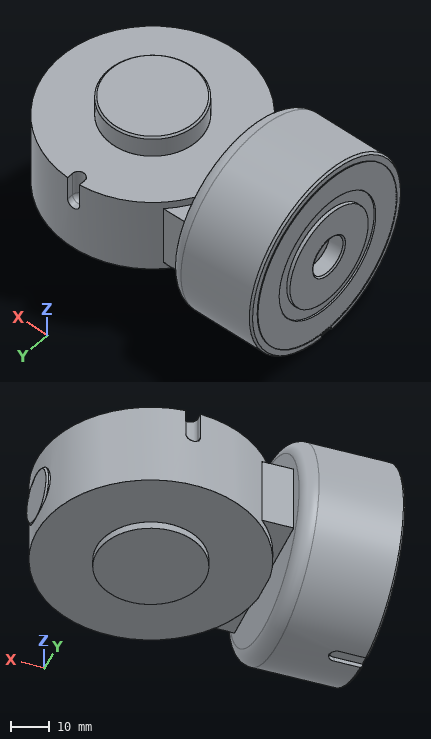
import cadquery as cq

disk_radius = 31.52
disk_height = 25.0
pin_radius = 15.0
pin_top = 19.4
pin_bottom = -14.6
pin_chamfer = 0.55

side_boss_radius = 7.8
side_boss_end = 31.6
side_boss_chamfer = 0.55

overall_length = 91.5
wheel_radius = 30.0
wheel_back = -31.2
wheel_fillet = 4.0
hub_front = side_boss_end - overall_length
hub_radius = 15.6
hub_height = 0.55
face_radius = 27.6
face_front = hub_front + hub_height
rim_step = 0.3
rim_front = face_front + rim_step
rim_chamfer_width = 0.55
rim_chamfer_length = 0.6
recess_radius = 19.2
recess_depth = 0.55
bore_radius = 6.0
bore_depth = 5.0
bore_chamfer = 0.5

block_width = 44.1
block_height = 20.1
block_start = wheel_back - wheel_fillet
block_end = -disk_radius / 2

notch_radius = 2.0
notch_axis_depth = 8.0
disk_notch_length = 4.0
wheel_notch_length = 1.4


def cylinder(radius, start, end, direction):
    """Cylinder on an axis through the origin, between two positions along it."""
    origin = cq.Vector(*direction) * start
    solid = cq.Solid.makeCylinder(radius, end - start, origin, cq.Vector(*direction))
    return cq.Workplane(obj=solid)


def make_disk():
    """Disk with its through pin and the flat boss on its side."""
    half_height = disk_height / 2
    disk = cylinder(disk_radius, -half_height, half_height, (0, 0, 1))
    pin = cylinder(pin_radius, pin_bottom, pin_top, (0, 0, 1))
    pin = pin.faces(">Z").edges().chamfer(pin_chamfer)
    side_boss = cylinder(side_boss_radius, 0, side_boss_end, (1, 0, 0))
    side_boss = side_boss.faces(">X").edges().chamfer(side_boss_chamfer)
    return disk.union(pin).union(side_boss)


def make_wheel():
    """Revolve the half section of the wheel, including recess and blind bore."""
    bore_floor = hub_front + bore_depth
    recess_floor = face_front + recess_depth
    section = (
        cq.Workplane("XY")
        .moveTo(bore_floor, 0)
        .lineTo(bore_floor, bore_radius)
        .lineTo(hub_front + bore_chamfer, bore_radius)
        .lineTo(hub_front, bore_radius + bore_chamfer)
        .lineTo(hub_front, hub_radius)
        .lineTo(recess_floor, hub_radius)
        .lineTo(recess_floor, recess_radius)
        .lineTo(face_front, recess_radius)
        .lineTo(face_front, face_radius)
        .lineTo(rim_front, face_radius)
        .lineTo(rim_front, wheel_radius - rim_chamfer_width)
        .lineTo(rim_front + rim_chamfer_length, wheel_radius)
        .lineTo(wheel_back, wheel_radius)
        .lineTo(wheel_back, 0)
        .close()
    )
    wheel = section.revolve(360, (0, 0, 0), (1, 0, 0))
    return wheel.faces(">X").edges().fillet(wheel_fillet)


def make_block():
    """Block running from inside the wheel to inside the disk."""
    block = cq.Workplane("XY").box(
        block_end - block_start, block_width, block_height, centered=(False, True, True)
    )
    return block.translate((block_start, 0, 0))


def make_disk_notch():
    """Cutting tools for a ball-ended radial slot into the top face, at the +Y rim."""
    ball_center = disk_radius - disk_notch_length + notch_radius
    axis_height = disk_height / 2 - notch_axis_depth
    outer_end = disk_radius + notch_radius
    groove = cylinder(notch_radius, 0, outer_end - ball_center, (0, 1, 0))
    ball = cq.Workplane("XY").sphere(notch_radius)
    walls = (
        cq.Workplane("XY")
        .moveTo(notch_radius, outer_end - ball_center)
        .lineTo(notch_radius, 0)
        .threePointArc((0, -notch_radius), (-notch_radius, 0))
        .lineTo(-notch_radius, outer_end - ball_center)
        .close()
        .extrude(notch_axis_depth)
    )
    position = (0, ball_center, axis_height)
    return [tool.translate(position) for tool in (walls, groove, ball)]


def make_wheel_notch():
    """Flat-ended radial slot into the front rim, at the -Z side."""
    slot_start = wheel_radius - wheel_notch_length
    slot_end = wheel_radius + notch_radius
    groove = cylinder(notch_radius, slot_start, slot_end, (0, 0, -1))
    walls = cq.Workplane("XY").box(
        notch_axis_depth, 2 * notch_radius, slot_end - slot_start, centered=(False, True, False)
    )
    walls = walls.translate((-notch_axis_depth, 0, -slot_end))
    return groove.union(walls).translate((rim_front + notch_axis_depth, 0, 0))


body = make_disk().union(make_block()).union(make_wheel())
for notch_tool in make_disk_notch():
    body = body.cut(notch_tool)
result = body.cut(make_wheel_notch())